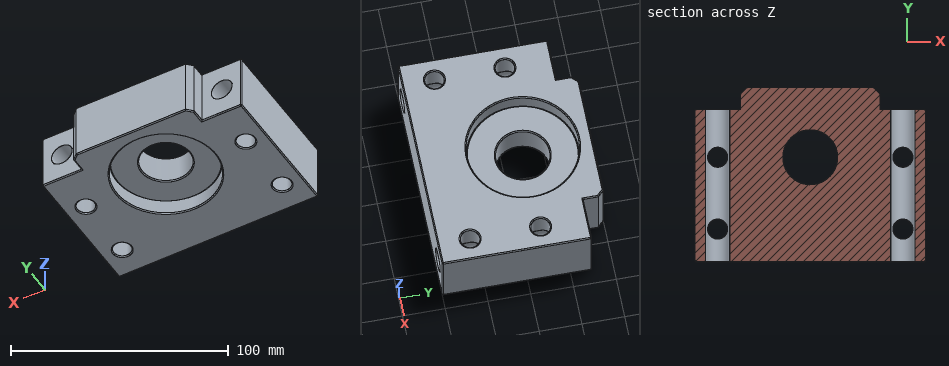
import cadquery as cq

width = 106.0
depth = 80.0
thickness = 30.0
edge_break = 0.5

tab_width = 64.0
shoulder_depth = 70.0
tab_corner_chamfer = 3.0

bore_to_front = 48.0
seat_diameter = 52.0
seat_depth = 7.5
bore_diameter = 25.0

hole_spacing_x = 85.0
vertical_hole_diameter = 9.0
vertical_hole_spacing_y = 33.0
cross_hole_diameter = 11.0

front_y = -bore_to_front
back_y = front_y + depth
shoulder_y = front_y + shoulder_depth
seat_floor_z = thickness - seat_depth
hole_columns = (-hole_spacing_x / 2, hole_spacing_x / 2)
hole_rows = (0, -vertical_hole_spacing_y)


def block():
    """Rectangular block with a narrower tab at the back and broken edges."""
    half_width = width / 2
    half_tab = tab_width / 2
    tab_side_end_y = back_y - tab_corner_chamfer
    tab_back_end_x = half_tab - tab_corner_chamfer
    body = (
        cq.Workplane("XY")
        .moveTo(-half_width, front_y)
        .lineTo(half_width, front_y)
        .lineTo(half_width, shoulder_y)
        .lineTo(half_tab, shoulder_y)
        .lineTo(half_tab, tab_side_end_y)
        .lineTo(tab_back_end_x, back_y)
        .lineTo(-tab_back_end_x, back_y)
        .lineTo(-half_tab, tab_side_end_y)
        .lineTo(-half_tab, shoulder_y)
        .lineTo(-half_width, shoulder_y)
        .close()
        .extrude(thickness)
    )
    body = body.faces("<X or >X").edges("|Z").chamfer(edge_break)
    return body.faces("<Z or >Z").edges().chamfer(edge_break)


def through_hole(x, y, diameter, bottom, top):
    """Vertical round cutter with both mouths flared by the edge break."""
    radius = diameter / 2
    mouth_radius = radius + edge_break
    cutter = (
        cq.Workplane("XZ")
        .moveTo(0, bottom)
        .lineTo(mouth_radius, bottom)
        .lineTo(radius, bottom + edge_break)
        .lineTo(radius, top - edge_break)
        .lineTo(mouth_radius, top)
        .lineTo(0, top)
        .close()
        .revolve(360, (0, 0, 0), (0, 1, 0))
    )
    return cutter.translate((x, y, 0))


def bearing_seat():
    """Cutter for the top bearing seat, with a flared mouth and a floor that slopes down at its rim."""
    radius = seat_diameter / 2
    return (
        cq.Workplane("XZ")
        .moveTo(0, seat_floor_z)
        .lineTo(radius - edge_break, seat_floor_z)
        .lineTo(radius, seat_floor_z - edge_break)
        .lineTo(radius, thickness - edge_break)
        .lineTo(radius + edge_break, thickness)
        .lineTo(0, thickness)
        .close()
        .revolve(360, (0, 0, 0), (0, 1, 0))
    )


def cross_hole(x):
    """Cutter for a plain hole running front to back at mid thickness."""
    return (
        cq.Workplane("XZ", origin=(x, front_y, thickness / 2))
        .circle(cross_hole_diameter / 2)
        .extrude(-depth)
    )


top_seat = bearing_seat()
bottom_seat = top_seat.mirror("XY", (0, 0, thickness / 2))

result = block()
result = result.cut(top_seat).cut(bottom_seat)
result = result.cut(through_hole(0, 0, bore_diameter, seat_depth, seat_floor_z))

for column_x in hole_columns:
    for row_y in hole_rows:
        result = result.cut(through_hole(column_x, row_y, vertical_hole_diameter, 0, thickness))
    result = result.cut(cross_hole(column_x))